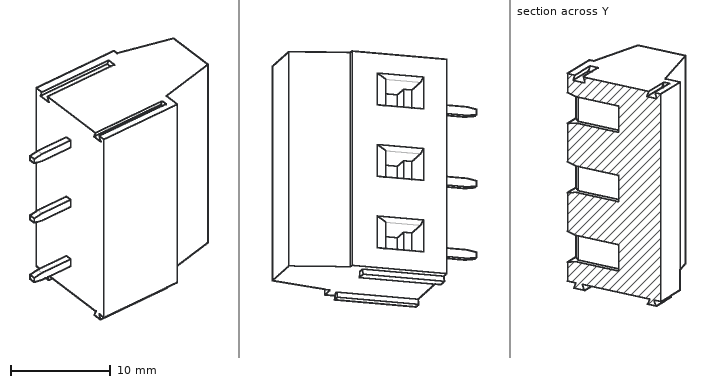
import cadquery as cq


pole_count = 3
overall_height = 23.1
rail_height = 0.6
housing_height = overall_height - rail_height
pole_pitch = housing_height / pole_count
housing_width = 11.0
housing_depth = 16.0
left_shoulder_x = 0.5
left_shoulder_y = 10.0
right_shoulder_x = 9.22
right_shoulder_y = 9.45
back_left_x = 2.1
back_right_x = 7.7

dovetail_length = 8.6
left_dovetail_x = 1.39
right_dovetail_x = 9.93
left_rail_neck = 0.83
left_rail_foot = 1.3
left_groove_mouth = 0.92
left_groove_floor = 1.36
right_rail_neck = 0.55
right_rail_foot = 1.02
right_groove_mouth = 0.62
right_groove_floor = 1.1

entry_front_y = 2.45
entry_back_y = 7.32
entry_height = 3.33
funnel_depth = 1.0
pocket_back_y = 6.12
pocket_height = 2.8
pocket_depth = 6.0
ledge_back_y = 3.33
ledge_depth = 3.93

pin_x = 5.27
pin_width = 0.7
pin_height = 0.9
pin_length = 4.7
pin_tip_length = 1.02
pin_tip_height = 0.55


def housing():
    outline = [
        (0, 0),
        (housing_width, 0),
        (housing_width, right_shoulder_y),
        (right_shoulder_x, right_shoulder_y),
        (back_right_x, housing_depth),
        (back_left_x, housing_depth),
        (left_shoulder_x, left_shoulder_y),
        (0, left_shoulder_y),
    ]
    return cq.Workplane("XY").polyline(outline).close().extrude(housing_height)


def dovetail(center_x, top_z, top_width, bottom_width):
    """Dovetail bar running back from the front face, wider at its lower side."""
    bottom_z = top_z - rail_height
    outline = [
        (center_x - top_width / 2, top_z),
        (center_x + top_width / 2, top_z),
        (center_x + bottom_width / 2, bottom_z),
        (center_x - bottom_width / 2, bottom_z),
    ]
    return cq.Workplane("XZ").polyline(outline).close().extrude(-dovetail_length)


def box_between(x_range, y_range, center_z, height):
    size_x = x_range[1] - x_range[0]
    size_y = y_range[1] - y_range[0]
    corner = (x_range[0], y_range[0], center_z - height / 2)
    return cq.Workplane("XY").box(size_x, size_y, height, centered=False).translate(corner)


def wire_entry(center_z):
    """Cutter for one wire entry; the front wall of the funnel stays square to the face."""
    mouth_center_y = (entry_front_y + entry_back_y) / 2
    throat_center_y = (entry_front_y + pocket_back_y) / 2
    funnel = (
        cq.Workplane("YZ")
        .center(mouth_center_y, center_z)
        .rect(entry_back_y - entry_front_y, entry_height)
        .workplane(offset=funnel_depth)
        .center(throat_center_y - mouth_center_y, 0)
        .rect(pocket_back_y - entry_front_y, pocket_height)
        .loft(ruled=True)
    )
    ledge_part = box_between(
        (funnel_depth, ledge_depth), (entry_front_y, ledge_back_y), center_z, pocket_height
    )
    deep_part = box_between(
        (funnel_depth, pocket_depth), (ledge_back_y, pocket_back_y), center_z, pocket_height
    )
    return funnel.union(ledge_part).union(deep_part)


def pin(center_z):
    """Flat pin pointing to -Y, tapered in height at its tip."""
    taper_start_y = pin_tip_length - pin_length
    outline = [
        (0, center_z - pin_height / 2),
        (taper_start_y, center_z - pin_height / 2),
        (-pin_length, center_z - pin_tip_height / 2),
        (-pin_length, center_z + pin_tip_height / 2),
        (taper_start_y, center_z + pin_height / 2),
        (0, center_z + pin_height / 2),
    ]
    return (
        cq.Workplane("YZ", origin=(pin_x - pin_width / 2, 0, 0))
        .polyline(outline)
        .close()
        .extrude(pin_width)
    )


result = housing()

result = result.union(dovetail(left_dovetail_x, 0, left_rail_neck, left_rail_foot))
result = result.union(dovetail(right_dovetail_x, 0, right_rail_neck, right_rail_foot))
result = result.cut(dovetail(left_dovetail_x, housing_height, left_groove_mouth, left_groove_floor))
result = result.cut(dovetail(right_dovetail_x, housing_height, right_groove_mouth, right_groove_floor))

for pole in range(pole_count):
    pole_z = (pole + 0.5) * pole_pitch
    result = result.cut(wire_entry(pole_z))
    result = result.union(pin(pole_z))